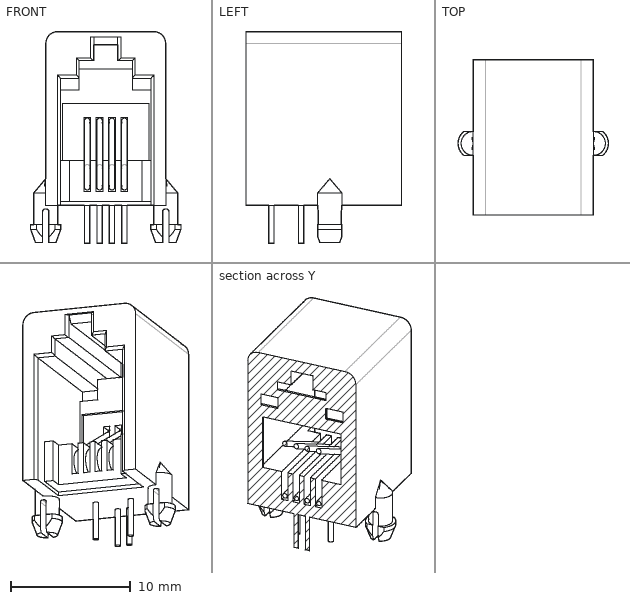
import cadquery as cq
import math

body_width = 10.04
body_depth = 13.01
body_height = 14.53
top_corner_radius = 1.01

bay_half_width, bay_top, bay_flare = 3.77, 10.62, 0.27
step_half_width, step_top, step_flare = 2.23, 12.1, 0.21
key_half_width, key_top, key_flare = 1.0, 13.42, 0.28
key_mouth_top = 14.07
key_ramp_depth = 0.42

wall_front = 10.62
wall_shoulder_height = 9.65
wall_top = 11.4
corner_inset = 0.53
window_half_width = 3.61
window_top = 8.5
window_depth = 0.35

block_top = 3.77
block_bottom = 0.32
block_front = 3.25
ear_front = 1.93
ear_inner = 3.01
floor_front = 5.31

contact_diameter = 0.46
contact_pairs = (
    (1.55, 0.55, 8.39),
    (0.51, 0.58, 10.89),
)
slot_floor = 1.15
slot_top = 7.35
slot_back = 12.04
contact_end = 12.39
contact_slope = 26.0
bend_radius = 0.88
contact_front = 3.43
contact_bottom = 1.3

pin_length = 3.17

peg_y = 6.0
peg_diameter = 2.02
peg_shoulder_z = 1.05
peg_tip_z = 2.23
barb_diameter = 2.55
barb_top_z = -1.61
barb_rim_z = -2.0
peg_bottom_z = -3.12
peg_bottom_diameter = 1.73
peg_slit_width = 0.5
peg_slit_top_z = -0.32
peg_slit_corner_radius = 0.18


def box(x_range, y_range, z_range):
    """Axis-aligned box between the given limits."""
    sizes = [high - low for low, high in (x_range, y_range, z_range)]
    corner = (x_range[0], y_range[0], z_range[0])
    return cq.Workplane("XY").box(*sizes, centered=False).translate(corner)


def centred_box(half_width, y_range, z_range):
    return box((-half_width, half_width), y_range, z_range)


def flared_mouth(half_width, flare, top, mouth_top):
    """Tapered opening at the front face that narrows to the passage behind it."""
    mouth_half_width = half_width + flare
    return (
        cq.Workplane("XZ")
        .center(0, mouth_top / 2)
        .rect(2 * mouth_half_width, mouth_top)
        .workplane(offset=-flare)
        .center(0, (top - mouth_top) / 2)
        .rect(2 * half_width, top)
        .loft(ruled=True)
    )


def passage(half_width, top):
    return centred_box(half_width, (0, body_depth), (0, top))


def make_key_ramp():
    """Wedge that lowers the keyway ceiling from its mouth to its inner height."""
    return (
        cq.Workplane("YZ")
        .moveTo(key_flare, step_top)
        .lineTo(key_flare, key_mouth_top)
        .lineTo(key_flare + key_ramp_depth, key_top)
        .lineTo(key_flare + key_ramp_depth, step_top)
        .close()
        .extrude(key_half_width, both=True)
    )


def make_shell():
    shell = centred_box(body_width / 2, (0, body_depth), (0, body_height))
    shell = shell.edges("|Y and >Z").fillet(top_corner_radius)
    lower_steps = (
        (bay_half_width, bay_top, bay_flare),
        (step_half_width, step_top, step_flare),
    )
    for half_width, top, flare in lower_steps:
        shell = shell.cut(passage(half_width, top))
        shell = shell.cut(flared_mouth(half_width, flare, top, top + flare))
    shell = shell.cut(passage(key_half_width, key_top))
    shell = shell.cut(flared_mouth(key_half_width, key_flare, key_mouth_top, key_mouth_top))
    return shell.cut(make_key_ramp())


def make_back_wall():
    wall = centred_box(bay_half_width, (wall_front, body_depth), (0, wall_shoulder_height))
    tongue = centred_box(step_half_width, (wall_front, body_depth), (0, wall_top))
    corners = centred_box(bay_half_width, (wall_front + corner_inset, body_depth), (0, bay_top))
    window = centred_box(
        window_half_width, (wall_front, wall_front + window_depth), (block_top, window_top)
    )
    return wall.union(tongue).union(corners).cut(window)


def make_contact_block():
    wall_overlap = wall_front + window_depth
    block = centred_box(bay_half_width, (ear_front, wall_overlap), (block_bottom, block_top))
    recess = centred_box(ear_inner, (ear_front, block_front), (block_bottom, block_top))
    floor = centred_box(bay_half_width, (floor_front, wall_overlap), (0, block_bottom))
    return block.cut(recess).union(floor)


def make_slot(x, width):
    return box((x - width / 2, x + width / 2), (block_front, slot_back), (slot_floor, slot_top))


def make_contact(x):
    """Round wire: lower leg, bend at the front, then a sloping spring leg."""
    slope = math.radians(contact_slope)
    radius = contact_diameter / 2
    bend_y = contact_front + radius + bend_radius
    bend_z = contact_bottom + radius + bend_radius
    leg_z = bend_z - bend_radius
    spring_y = bend_y - bend_radius * math.sin(slope)
    spring_z = bend_z + bend_radius * math.cos(slope)
    end_z = spring_z + (contact_end - spring_y) * math.tan(slope)
    path = (
        cq.Workplane("YZ", origin=(x, 0, 0))
        .moveTo(contact_end, leg_z)
        .lineTo(bend_y, leg_z)
        .threePointArc(
            (bend_y - bend_radius, bend_z),
            (spring_y, spring_z),
        )
        .lineTo(contact_end, end_z)
    )
    profile = cq.Workplane("XZ", origin=(x, contact_end, leg_z)).circle(radius)
    return profile.sweep(path)


def make_pin(x, y):
    pin = cq.Workplane("XY").circle(contact_diameter / 2).extrude(pin_length + block_bottom)
    return pin.translate((x, y, -pin_length))


def make_left_peg():
    """Pointed, slit peg with a barbed end, half sunk into the left side wall."""
    shaft = (
        cq.Workplane("XZ")
        .moveTo(0, peg_tip_z)
        .lineTo(peg_diameter / 2, peg_shoulder_z)
        .lineTo(peg_diameter / 2, barb_top_z)
        .lineTo(barb_diameter / 2, barb_top_z)
        .lineTo(barb_diameter / 2, barb_rim_z)
        .lineTo(peg_bottom_diameter / 2, peg_bottom_z)
        .lineTo(0, peg_bottom_z)
        .close()
        .revolve(360, (0, 0, 0), (0, 1, 0))
    )
    half_thickness = peg_diameter / 2
    thickness_range = (-half_thickness, half_thickness)
    envelope = centred_box(barb_diameter, thickness_range, (peg_bottom_z, peg_tip_z))
    slit = centred_box(peg_slit_width / 2, thickness_range, (peg_bottom_z, peg_slit_top_z))
    slit = slit.edges("|Y and >Z").fillet(peg_slit_corner_radius)
    peg = shaft.intersect(envelope).cut(slit)
    return peg.translate((-body_width / 2, peg_y, 0))


result = make_shell().union(make_back_wall()).union(make_contact_block())

left_peg = make_left_peg()
result = result.union(left_peg).union(left_peg.mirror("YZ"))

for distance, slot_width, pin_y in contact_pairs:
    for x in (-distance, distance):
        result = result.cut(make_slot(x, slot_width))
        result = result.union(make_contact(x))
        result = result.union(make_pin(x, pin_y))